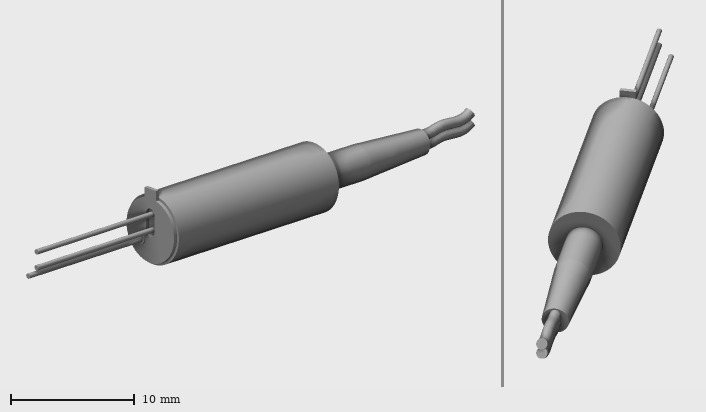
import cadquery as cq
import math

total_length = 48.8
pin_length = 12.75

header_radius = 2.8
header_thickness = 0.35
tab_width = 1.3
tab_top = 3.588

body_radius = 3.0
body_end = 18.25
neck_radius = 1.538
neck_end = 23.25
taper_end_radius = 1.1
taper_end = 30.25

pin_radius = 0.22
center_pin = (0, 0)
upper_pin = (0, 1.35)
lower_pin = (-1.0, -1.0)
slot_width = 1.03
slot_depth = header_thickness
bead_radius = 0.4
bead_height = 0.15

wire_radius = 0.465
wire_spacing = 0.9
wire_start_height = 0.55
wire_run_height = 0.8
wire_dip_height = 0.75
wire_end_height = 1.15
wire_end_angle = math.radians(33)
wire_rise_start = 31.15
wire_rise_end = 32.4
wire_dip = 34.45
wire_tip = total_length - pin_length
wire_end = wire_tip - wire_radius * math.sin(wire_end_angle)


def rod(center, radius, start, end):
    """Cylinder along Y, centred at (x, z)."""
    x, z = center
    return cq.Workplane(cq.Solid.makeCylinder(radius, end - start, cq.Vector(x, start, z), cq.Vector(0, 1, 0)))


def turned_housing():
    """Header disc, body, neck and taper as one turned profile."""
    return (
        cq.Workplane("XY")
        .polyline([
            (0, 0),
            (header_radius, 0),
            (header_radius, header_thickness),
            (body_radius, header_thickness),
            (body_radius, body_end),
            (neck_radius, body_end),
            (neck_radius, neck_end),
            (taper_end_radius, taper_end),
            (0, taper_end),
        ])
        .close()
        .revolve(360, (0, 0, 0), (0, 1, 0))
    )


def locating_tab():
    return cq.Workplane("XY").box(tab_width, header_thickness, tab_top, centered=(True, False, False))


def pin_slot():
    """Round-ended recess enclosing the centre and upper pins."""
    pin_pitch = upper_pin[1] - center_pin[1]
    return (
        cq.Workplane("XZ")
        .center(0, center_pin[1] + pin_pitch / 2)
        .slot2D(pin_pitch + slot_width, slot_width, 90)
        .extrude(-slot_depth)
    )


def bent_wire(height_offset):
    """Round wire swept along a gentle wave that turns up at its free end."""
    path_points = [
        (taper_end, wire_start_height),
        (wire_rise_start, wire_start_height),
        (wire_rise_end, wire_run_height),
        (wire_dip, wire_dip_height),
        (wire_end, wire_end_height),
    ]
    path = cq.Workplane("YZ").spline(
        [(y, z + height_offset) for y, z in path_points],
        tangents=[(1, 0), (math.cos(wire_end_angle), math.sin(wire_end_angle))],
    )
    return (
        cq.Workplane("XZ", origin=(0, taper_end, wire_start_height + height_offset))
        .circle(wire_radius)
        .sweep(path)
    )


result = turned_housing().union(locating_tab()).cut(pin_slot())

for pin in (center_pin, upper_pin, lower_pin):
    result = result.union(rod(pin, pin_radius, -pin_length, slot_depth))

bead = rod(lower_pin, bead_radius, -bead_height, 0)
result = result.union(bead)

for offset in (0, -wire_spacing):
    result = result.union(bent_wire(offset))